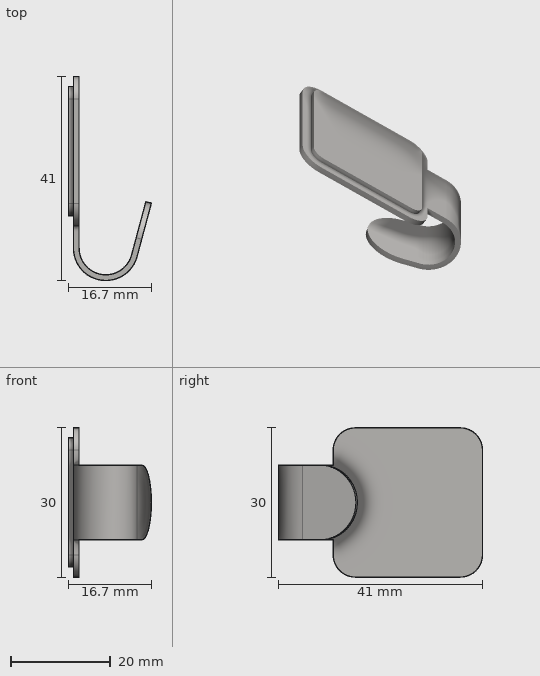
import cadquery as cq
import math

overall_length = 41.0

plate_size = 30.0
plate_corner_radius = 4.5
sheet_thickness = 1.2

pad_margin = 2.0
pad_size = plate_size - 2 * pad_margin
pad_corner_radius = 2.5
pad_thickness = 1.0

hook_width = plate_size / 2
hook_reach = overall_length - plate_size
bend_outer_radius = 6.5
bend_inner_radius = bend_outer_radius - sheet_thickness
leg_angle = math.radians(15)
leg_length = 11.1
tip_radius = hook_width / 2

plate_edge_y = -plate_size / 2
bend_x = bend_outer_radius
bend_y = plate_edge_y - hook_reach + bend_outer_radius


def rounded_square(size, corner_radius, start_x, thickness):
    """Square sheet in the YZ plane with rounded corners, thickened along +X."""
    sheet = cq.Workplane("YZ", origin=(start_x, 0, 0)).rect(size, size).extrude(thickness)
    return sheet.edges("|X").fillet(corner_radius)


def bend_point(radius, angle, along_leg=0.0):
    """Point around the bend axis, optionally moved along the free leg."""
    return (
        bend_x + radius * math.cos(angle) + along_leg * math.sin(leg_angle),
        bend_y + radius * math.sin(angle) + along_leg * math.cos(leg_angle),
    )


def make_hook_strip():
    """J-shaped strip: straight run, round bend and leaning free leg."""
    bend_end = -leg_angle
    bend_middle = (bend_end - math.pi) / 2
    return (
        cq.Workplane("XY", origin=(0, 0, -hook_width / 2))
        .moveTo(0, plate_edge_y)
        .lineTo(0, bend_y)
        .threePointArc(bend_point(bend_outer_radius, bend_middle), bend_point(bend_outer_radius, bend_end))
        .lineTo(*bend_point(bend_outer_radius, bend_end, leg_length))
        .lineTo(*bend_point(bend_inner_radius, bend_end, leg_length))
        .lineTo(*bend_point(bend_inner_radius, bend_end))
        .threePointArc(bend_point(bend_inner_radius, bend_middle), (sheet_thickness, bend_y))
        .lineTo(sheet_thickness, plate_edge_y)
        .close()
        .extrude(hook_width)
    )


def make_tip_waste():
    """Material outside the semicircular end of the free leg."""
    round_x, round_y = bend_point(bend_inner_radius, -leg_angle, leg_length - tip_radius)
    leg_direction = (math.sin(leg_angle), math.cos(leg_angle), 0)
    leg_normal = (math.cos(leg_angle), -math.sin(leg_angle), 0)
    leg_plane = cq.Plane(origin=(round_x, round_y, 0), xDir=leg_direction, normal=leg_normal)
    end_block = (
        cq.Workplane(leg_plane)
        .rect(tip_radius, 2 * tip_radius, centered=(False, True))
        .extrude(sheet_thickness)
    )
    tip_disc = cq.Workplane(leg_plane).circle(tip_radius).extrude(sheet_thickness)
    return end_block.cut(tip_disc)


def make_hook():
    """Plate and bent strip as one sheet part."""
    plate = rounded_square(plate_size, plate_corner_radius, 0, sheet_thickness)
    strip = make_hook_strip().cut(make_tip_waste())
    return plate.union(strip)


hook = make_hook()
pad = rounded_square(pad_size, pad_corner_radius, -pad_thickness, pad_thickness)

result = cq.Compound.makeCompound([hook.solids().val(), pad.val()])